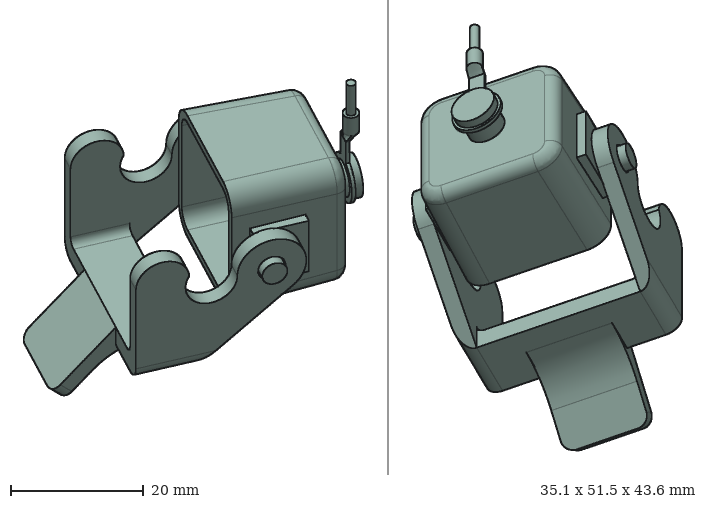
import cadquery as cq
import math


CAP_FRONT_Y = -4.95
CAP_BACK_Y = 13.95
CAP_FRONT_SIZE = 24.05
CAP_DRAFT = 1.65
CAP_CORNER_RADIUS = 3.95
CAP_BACK_FILLET = 2.0
CAP_WALL = 1.45
CAVITY_SIZE = CAP_FRONT_SIZE - 2 * CAP_WALL
CAVITY_CORNER_RADIUS = CAP_CORNER_RADIUS - CAP_WALL
CAVITY_DEPTH = CAP_BACK_Y - CAP_FRONT_Y - CAP_WALL

PAD_FRONT_Y = -2.0
PAD_BACK_Y = 6.95
PAD_HEIGHT = 10.0
PAD_OUTER_X = 13.25
PEG_DIAMETER = 4.0
PEG_SPAN = 35.1

STUD_DIAMETER = 6.0
STUD_HEAD_DIAMETER = 7.0
STUD_END_Y = 19.05

LUG_THICKNESS = 0.6
LUG_FRONT_Y = 17.05
LUG_BACK_Y = LUG_FRONT_Y + LUG_THICKNESS
RING_DIAMETER = 8.0
SLEEVE_DIAMETER = 2.5
SLEEVE_BOTTOM_Z = 9.0
SLEEVE_TOP_Z = 12.5
SLEEVE_Y = LUG_FRONT_Y + SLEEVE_DIAMETER / 2
NECK_HEIGHT = 1.0
WIRE_DIAMETER = 1.5
WIRE_TOP_Z = 18.45

LEVER_WIDTH = 32.35
ARM_THICKNESS = 2.7
LEVER_FRONT_Y = -21.7
FLOOR_BACK_Y = -12.25
FLOOR_BOTTOM_Z = -16.45
FLOOR_THICKNESS = 3.5
FLOOR_TOP_Z = FLOOR_BOTTOM_Z + FLOOR_THICKNESS
LEVER_OUTER_RADIUS = 2.7
LEVER_INNER_RADIUS = 1.35
EYE_RADIUS = 5.5
PIVOT_HOLE_DIAMETER = 4.4
NOTCH_RADIUS = 4.1
NOTCH_Y = -(EYE_RADIUS + NOTCH_RADIUS)
HOOK_RADIUS = 4.3
HOOK_Y = LEVER_FRONT_Y + HOOK_RADIUS
HOOK_Z = 1.8

TAB_WIDTH = 14.15
TAB_ANGLE = 45.0
TAB_THICKNESS = 2.65
TAB_LENGTH = 14.55
TAB_BEND_RADIUS = 12.9
TAB_CORNER_RADIUS = 2.0


def cylinder_x(diameter, x_start, x_end):
    return cq.Workplane("YZ").workplane(offset=x_start).circle(diameter / 2).extrude(x_end - x_start)


def cylinder_y(diameter, y_start, y_end):
    return cq.Workplane("XZ").workplane(offset=-y_start).circle(diameter / 2).extrude(y_start - y_end)


def cylinder_z(diameter, y, z_start, z_end):
    return (
        cq.Workplane("XY").workplane(offset=z_start)
        .center(0, y).circle(diameter / 2).extrude(z_end - z_start)
    )


def make_cap_body():
    """Solid tapered block with rounded corners and a rounded back edge."""
    return (
        cq.Workplane("XZ", origin=(0, CAP_FRONT_Y, 0)).rect(CAP_FRONT_SIZE, CAP_FRONT_SIZE)
        .extrude(CAP_FRONT_Y - CAP_BACK_Y, taper=CAP_DRAFT)
        .edges("not (<Y or >Y)").fillet(CAP_CORNER_RADIUS)
        .faces(">Y").edges().fillet(CAP_BACK_FILLET)
    )


def make_cap_cavity():
    return (
        cq.Workplane("XZ", origin=(0, CAP_FRONT_Y, 0)).rect(CAVITY_SIZE, CAVITY_SIZE)
        .extrude(-CAVITY_DEPTH)
        .edges("|Y").fillet(CAVITY_CORNER_RADIUS)
    )


def make_cap():
    pads = cq.Workplane("XY").box(
        2 * PAD_OUTER_X, PAD_BACK_Y - PAD_FRONT_Y, PAD_HEIGHT
    ).translate((0, (PAD_FRONT_Y + PAD_BACK_Y) / 2, 0))
    pegs = cylinder_x(PEG_DIAMETER, -PEG_SPAN / 2, PEG_SPAN / 2)
    stud = cylinder_y(STUD_DIAMETER, CAP_BACK_Y, STUD_END_Y)
    stud_head = cylinder_y(STUD_HEAD_DIAMETER, LUG_BACK_Y, STUD_END_Y)
    hollow = make_cap_body().union(pads).union(pegs).cut(make_cap_cavity())
    return hollow.union(stud).union(stud_head)


def make_lug():
    neck_bottom_z = SLEEVE_BOTTOM_Z - NECK_HEIGHT
    strap_y = (LUG_FRONT_Y + LUG_BACK_Y) / 2
    ring = cylinder_y(RING_DIAMETER, LUG_FRONT_Y, LUG_BACK_Y)
    strap = cq.Workplane("XY").box(
        SLEEVE_DIAMETER, LUG_THICKNESS, neck_bottom_z, centered=(True, True, False)
    ).translate((0, strap_y, 0))
    neck = (
        cq.Workplane("XY", origin=(0, strap_y, neck_bottom_z)).rect(SLEEVE_DIAMETER, LUG_THICKNESS)
        .workplane(offset=NECK_HEIGHT).center(0, SLEEVE_Y - strap_y).circle(SLEEVE_DIAMETER / 2)
        .loft()
    )
    sleeve = cylinder_z(SLEEVE_DIAMETER, SLEEVE_Y, SLEEVE_BOTTOM_Z, SLEEVE_TOP_Z)
    wire = cylinder_z(WIRE_DIAMETER, SLEEVE_Y, SLEEVE_TOP_Z, WIRE_TOP_Z)
    stud_hole = cylinder_y(STUD_DIAMETER, LUG_FRONT_Y, LUG_BACK_Y)
    return ring.union(strap).cut(stud_hole).union(neck).union(sleeve).union(wire)


def lever_side_plate():
    """Side outline of the arms, as a plate over the whole lever width."""
    corner_distance = math.hypot(FLOOR_BACK_Y, FLOOR_BOTTOM_Z)
    corner_direction = math.atan2(FLOOR_BOTTOM_Z, FLOOR_BACK_Y)
    tangent_direction = corner_direction + math.acos(EYE_RADIUS / corner_distance)
    tangent_point = (
        EYE_RADIUS * math.cos(tangent_direction),
        EYE_RADIUS * math.sin(tangent_direction),
    )
    side = cq.Workplane("YZ", origin=(-LEVER_WIDTH / 2, 0, 0))
    web = (
        side.moveTo(*tangent_point)
        .lineTo(FLOOR_BACK_Y, FLOOR_BOTTOM_Z)
        .lineTo(LEVER_FRONT_Y, FLOOR_BOTTOM_Z)
        .lineTo(LEVER_FRONT_Y, HOOK_Z)
        .lineTo(HOOK_Y, HOOK_Z)
        .lineTo(HOOK_Y, 0)
        .lineTo(0, 0)
        .close().extrude(LEVER_WIDTH)
    )
    eye = side.circle(EYE_RADIUS).extrude(LEVER_WIDTH)
    notch = side.center(NOTCH_Y, 0).circle(NOTCH_RADIUS).extrude(LEVER_WIDTH)
    hook = side.center(HOOK_Y, HOOK_Z).circle(HOOK_RADIUS).extrude(LEVER_WIDTH)
    return web.union(eye).union(hook).cut(notch)


def make_bracket():
    """The U-shaped bracket, with rounded corners along Y."""
    inner_width = LEVER_WIDTH - 2 * ARM_THICKNESS
    length = 4 * abs(LEVER_FRONT_Y)
    height = 2 * (HOOK_Z + HOOK_RADIUS - FLOOR_BOTTOM_Z)
    outer = (
        cq.Workplane("XY").box(LEVER_WIDTH, length, height, centered=(True, True, False))
        .translate((0, 0, FLOOR_BOTTOM_Z))
        .edges("|Y and <Z").fillet(LEVER_OUTER_RADIUS)
    )
    between_arms = (
        cq.Workplane("XY").box(inner_width, length, height, centered=(True, True, False))
        .translate((0, 0, FLOOR_TOP_Z))
        .edges("|Y and <Z").fillet(LEVER_INNER_RADIUS)
    )
    behind_floor = (
        cq.Workplane("XY").box(inner_width, length, height, centered=(True, False, False))
        .translate((0, FLOOR_BACK_Y, FLOOR_BOTTOM_Z))
    )
    pivot_hole = cylinder_x(PIVOT_HOLE_DIAMETER, -LEVER_WIDTH / 2, LEVER_WIDTH / 2)
    return lever_side_plate().intersect(outer).cut(between_arms).cut(behind_floor).cut(pivot_hole)


def make_tab():
    slope = math.radians(TAB_ANGLE)
    along = (-math.cos(slope), -math.sin(slope))
    inward = (math.sin(slope), -math.cos(slope))
    top_end = (LEVER_FRONT_Y + TAB_LENGTH * along[0], FLOOR_TOP_Z + TAB_LENGTH * along[1])
    bottom_end = (top_end[0] + TAB_THICKNESS * inward[0], top_end[1] + TAB_THICKNESS * inward[1])
    to_floor = (bottom_end[1] - FLOOR_BOTTOM_Z) / along[1]
    tangent_length = TAB_BEND_RADIUS * math.tan(slope / 2)
    apex_y = bottom_end[0] - to_floor * along[0]
    bend_start = (apex_y + tangent_length, FLOOR_BOTTOM_Z)
    bend_end = (apex_y + tangent_length * along[0], FLOOR_BOTTOM_Z + tangent_length * along[1])
    tab = (
        cq.Workplane("YZ", origin=(-TAB_WIDTH / 2, 0, 0))
        .moveTo(LEVER_FRONT_Y, FLOOR_TOP_Z)
        .lineTo(*top_end)
        .lineTo(*bottom_end)
        .lineTo(*bend_end)
        .tangentArcPoint(bend_start, relative=False)
        .lineTo(bend_start[0], FLOOR_TOP_Z)
        .close().extrude(TAB_WIDTH)
    )
    end_face = tab.faces(cq.selectors.DirectionMinMaxSelector(cq.Vector(0, *along)))
    across_thickness = cq.selectors.ParallelDirSelector(cq.Vector(0, *inward))
    return end_face.edges(across_thickness).fillet(TAB_CORNER_RADIUS)


def make_lever():
    return make_bracket().union(make_tab())


cap = make_cap()
lug = make_lug()
lever = make_lever()

result = cq.Compound.makeCompound([cap.val(), lug.val(), lever.val()])